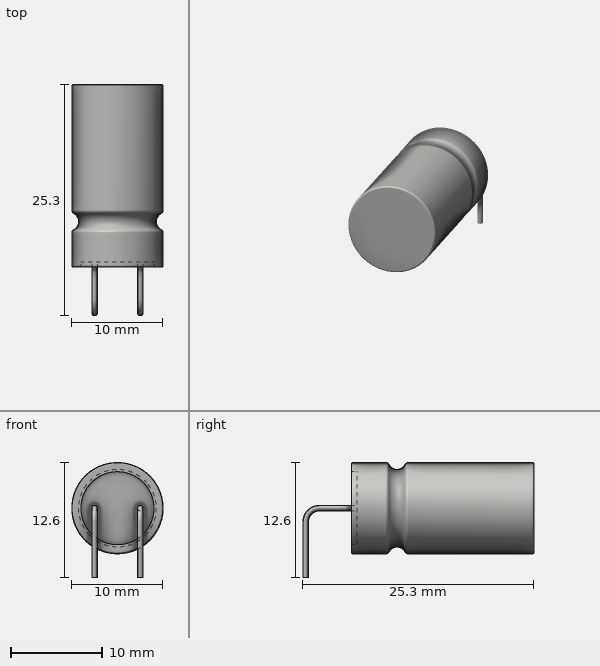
import cadquery as cq
import math

can_diameter = 10.0
can_length = 20.0
rim_fillet = 0.2

groove_center_y = 5.0
groove_depth = 0.75
groove_radius = 1.0
groove_blend_radius = 0.4

recess_diameter = 8.0
recess_depth = 0.6

lead_diameter = 0.6
lead_pitch = 5.0
lead_reach = 5.0
lead_drop = 7.6
lead_bend_radius = 1.5

can_radius = can_diameter / 2


def make_can():
    """Revolve the half profile, with X as the radius, about the Y axis."""
    groove_axis_radius = can_radius - groove_depth + groove_radius
    blend_axis_radius = can_radius - groove_blend_radius
    center_distance = groove_radius + groove_blend_radius
    radial_gap = groove_axis_radius - blend_axis_radius
    groove_half_width = math.sqrt(center_distance**2 - radial_gap**2)
    touch_fraction = groove_radius / center_distance
    touch_radius = groove_axis_radius - touch_fraction * radial_gap
    touch_offset = touch_fraction * groove_half_width

    profile = (
        cq.Workplane("XY")
        .lineTo(can_radius, 0)
        .lineTo(can_radius, groove_center_y - groove_half_width)
        .radiusArc((touch_radius, groove_center_y - touch_offset), -groove_blend_radius)
        .threePointArc(
            (can_radius - groove_depth, groove_center_y),
            (touch_radius, groove_center_y + touch_offset),
        )
        .radiusArc((can_radius, groove_center_y + groove_half_width), -groove_blend_radius)
        .lineTo(can_radius, can_length)
        .lineTo(0, can_length)
        .close()
    )
    can = profile.revolve(360, (0, 0, 0), (0, 1, 0))
    return can.faces("<Y or >Y").edges().fillet(rim_fillet)


def make_recess():
    """Cutter for the recess; the XZ plane faces -Y, so negative depth runs into the can."""
    return cq.Workplane("XZ").circle(recess_diameter / 2).extrude(-recess_depth)


def make_lead(x):
    """Wire from the recess floor out along -Y, then bent down along -Z."""
    bend_mid = lead_bend_radius * (1 - math.sqrt(0.5))
    path = (
        cq.Workplane("YZ", origin=(x, 0, 0))
        .moveTo(recess_depth, 0)
        .lineTo(-lead_reach + lead_bend_radius, 0)
        .threePointArc(
            (-lead_reach + bend_mid, -bend_mid),
            (-lead_reach, -lead_bend_radius),
        )
        .lineTo(-lead_reach, -lead_drop)
    )
    section = cq.Workplane("XZ", origin=(x, recess_depth, 0)).circle(lead_diameter / 2)
    return section.sweep(path)


result = make_can().cut(make_recess())
for side in (-1, 1):
    result = result.union(make_lead(side * lead_pitch / 2))